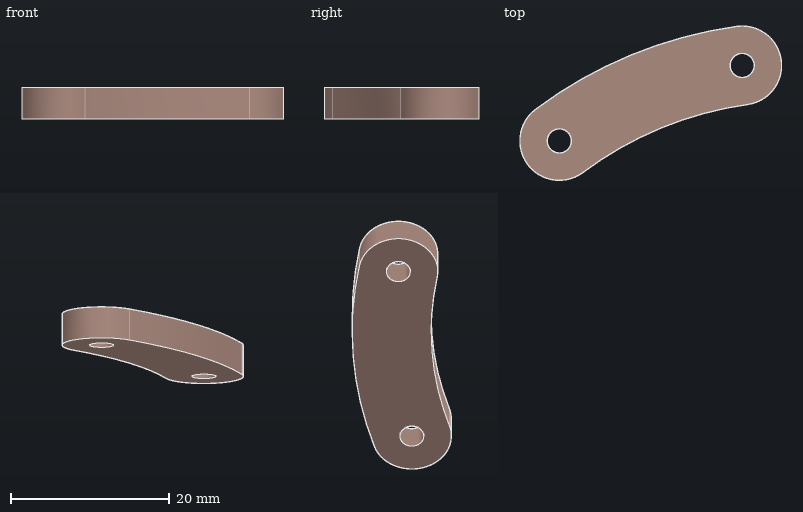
import cadquery as cq
import math

length = 33.1
width = 19.55
thickness = 4.0
end_radius = 5.0
hole_diameter = 3.0
centerline_radius = 50.0

span_x = length - 2 * end_radius
span_y = width - 2 * end_radius
hole_centers = [(0, 0), (span_x, span_y)]

chord = math.hypot(span_x, span_y)
chord_angle = math.atan2(span_y, span_x)
half_sweep = math.asin(chord / (2 * centerline_radius))
first_angle = chord_angle + math.pi / 2 + half_sweep
middle_angle = chord_angle + math.pi / 2
second_angle = chord_angle + math.pi / 2 - half_sweep
arc_center_x = -centerline_radius * math.cos(first_angle)
arc_center_y = -centerline_radius * math.sin(first_angle)


def arc_point(radius, angle):
    """Point at a polar position about the center of the link's arc."""
    return (
        arc_center_x + radius * math.cos(angle),
        arc_center_y + radius * math.sin(angle),
    )


def end_tip(center, direction):
    """Outermost point of a rounded end, in the given direction."""
    return (
        center[0] + end_radius * math.cos(direction),
        center[1] + end_radius * math.sin(direction),
    )


outer_radius = centerline_radius + end_radius
inner_radius = centerline_radius - end_radius
first_tip = end_tip(hole_centers[0], first_angle + math.pi / 2)
second_tip = end_tip(hole_centers[1], second_angle - math.pi / 2)

link = (
    cq.Workplane("XY")
    .moveTo(*arc_point(outer_radius, first_angle))
    .threePointArc(arc_point(outer_radius, middle_angle), arc_point(outer_radius, second_angle))
    .threePointArc(second_tip, arc_point(inner_radius, second_angle))
    .threePointArc(arc_point(inner_radius, middle_angle), arc_point(inner_radius, first_angle))
    .threePointArc(first_tip, arc_point(outer_radius, first_angle))
    .close()
    .extrude(thickness)
)

holes = (
    cq.Workplane("XY")
    .pushPoints(hole_centers)
    .circle(hole_diameter / 2)
    .extrude(thickness)
)

result = link.cut(holes)